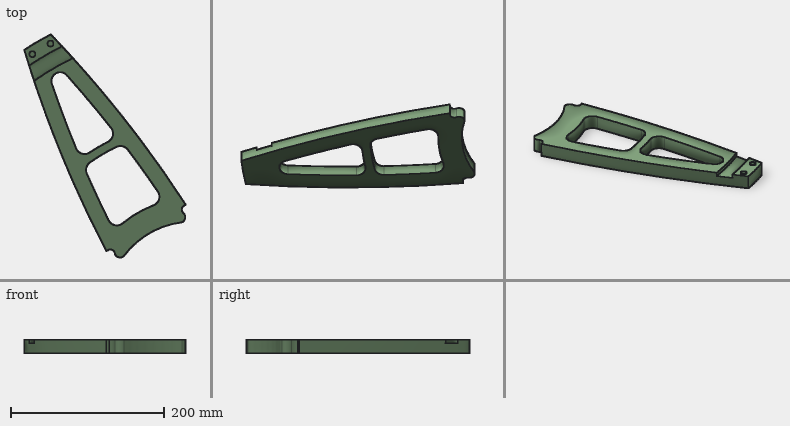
import cadquery as cq
import math

tilt = 30.3
thickness = 18.0

foot_half = 60.0
middle_half = 45.8
middle_y = 148.0
tip_half = 20.0
tip_y = 281.0

hub_y = -119.0
foot_y = -8.2
lower_window_start = 22.7
lower_window_end = 111.5
upper_window_start = 122.7
groove_start = 240.7
groove_end = 260.8
groove_depth = 5.0

rim_width = 21.0
window_fillet = 12.0
nose_fillet = 11.5

ledge_half = 56.0
notch_middle = (52.7, -2.3)
notch_end = (52.0, -7.3)
toe_middle = (51.3, -13.7)
toe_half = 44.0

recess_diameter = 8.0
recess_half_spacing = 13.7
recess_y = 270.7
recess_depth = 1.0


def hub_arc_y(crossing_y, x):
    """Height at x of the hub-centred arc that crosses the centreline at crossing_y."""
    return hub_y + math.sqrt((crossing_y - hub_y) ** 2 - x**2)


def circle_through(first, second, third):
    """Centre and radius of the circle through three points."""
    (ax, ay), (bx, by), (cx, cy) = first, second, third
    twice_area = 2 * (ax * (by - cy) + bx * (cy - ay) + cx * (ay - by))
    a_sq, b_sq, c_sq = ax**2 + ay**2, bx**2 + by**2, cx**2 + cy**2
    x = (a_sq * (by - cy) + b_sq * (cy - ay) + c_sq * (ay - by)) / twice_area
    y = (a_sq * (cx - bx) + b_sq * (ax - cx) + c_sq * (bx - ax)) / twice_area
    return x, y, math.hypot(ax - x, ay - y)


def mirrored(point):
    return (-point[0], point[1])


def disc(x, y, radius):
    return cq.Workplane("XY").center(x, y).circle(radius).extrude(thickness)


def hub_disc(crossing_y):
    return disc(0, hub_y, crossing_y - hub_y)


def make_body():
    foot_corner = (foot_half, 0)
    side_middle = (middle_half, middle_y)
    tip_corner = (tip_half, tip_y)
    tip_middle = (0, hub_y + math.hypot(tip_half, tip_y - hub_y))
    ledge_end = (ledge_half, 0)
    toe_end = (toe_half, hub_arc_y(foot_y, toe_half))
    return (
        cq.Workplane("XY")
        .moveTo(*foot_corner)
        .threePointArc(side_middle, tip_corner)
        .threePointArc(tip_middle, mirrored(tip_corner))
        .threePointArc(mirrored(side_middle), mirrored(foot_corner))
        .lineTo(*mirrored(ledge_end))
        .threePointArc(mirrored(notch_middle), mirrored(notch_end))
        .threePointArc(mirrored(toe_middle), mirrored(toe_end))
        .threePointArc((0, foot_y), toe_end)
        .threePointArc(toe_middle, notch_end)
        .threePointArc(notch_middle, ledge_end)
        .close()
        .extrude(thickness)
    )


def make_window_field():
    """Space between the two long sides, moved inward by the rim width."""
    x, y, side_radius = circle_through(
        (foot_half, 0), (middle_half, middle_y), (tip_half, tip_y)
    )
    radius = side_radius - rim_width
    return disc(x, y, radius).intersect(disc(-x, y, radius))


def upper_half_space():
    """Block that keeps only the part of the field on the tip side of the hub arc."""
    size = 4 * tip_y
    return cq.Workplane("XY").rect(size, size).extrude(thickness).translate((0, size / 2, 0))


def make_windows():
    field = make_window_field()
    lower = field.intersect(hub_disc(lower_window_end)).cut(hub_disc(lower_window_start))
    upper = field.cut(hub_disc(upper_window_start)).intersect(upper_half_space())
    lower = lower.edges("|Z").fillet(window_fillet)
    upper = upper.edges("|Z and (not >Y)").fillet(window_fillet)
    upper = upper.edges("|Z and >Y").fillet(nose_fillet)
    return lower, upper


def make_groove():
    ring = hub_disc(groove_end).cut(hub_disc(groove_start))
    return ring.translate((0, 0, thickness - groove_depth))


def make_recesses():
    spots = [(-recess_half_spacing, recess_y), (recess_half_spacing, recess_y)]
    top = cq.Workplane("XY").workplane(offset=thickness)
    return top.pushPoints(spots).circle(recess_diameter / 2).extrude(-recess_depth)


arm = make_body()
for window in make_windows():
    arm = arm.cut(window)
arm = arm.cut(make_groove()).cut(make_recesses())

result = arm.rotate((0, 0, 0), (0, 0, 1), tilt)